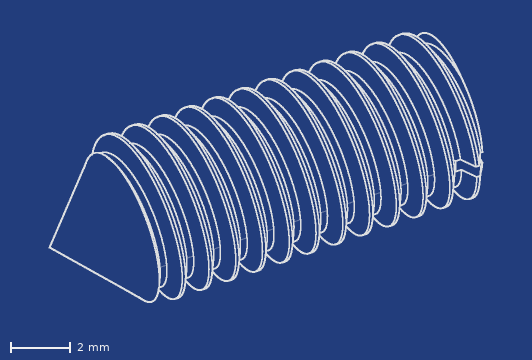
import cadquery as cq
import math

length = 15.0
major_radius = 3.0
core_radius = 2.46
point_length = major_radius

pitch = length / 15
flank_half_angle = math.radians(30)
crest_half_width = pitch / 16
root_half_width = crest_half_width + (major_radius - core_radius) * math.tan(flank_half_angle)
crest_offset = 0.44
overrun_turns = 2
root_overlap = 0.06
crest_clearance = 0.03

slot_width = 0.5
slot_depth = pitch


def pointed_envelope():
    """Trimming shape: flat at the head, clear of the crests, 45 degree cone at the point."""
    radius = major_radius + crest_clearance
    shoulder = length - radius * point_length / major_radius
    return (
        cq.Workplane("XZ")
        .polyline([(0, 0), (radius, 0), (radius, shoulder), (0, length)])
        .close()
        .revolve(360, (0, 0, 0), (0, 1, 0))
    )


def long_core():
    """Plain core rod, longer than the screw and its untrimmed thread at both ends."""
    overrun = (overrun_turns + 1) * pitch
    return (
        cq.Workplane("XY")
        .workplane(offset=-overrun)
        .circle(core_radius)
        .extrude(length + 2 * overrun)
    )


def thread_ridge():
    """Helical ridge, longer than the threaded shank at both ends."""
    start = crest_offset - overrun_turns * pitch
    turns = math.ceil((length - point_length) / pitch) + 2 * overrun_turns
    path = cq.Wire.makeHelix(pitch, turns * pitch, core_radius, cq.Vector(0, 0, start))
    inner_radius = core_radius - root_overlap
    inner_half_width = root_half_width + root_overlap * math.tan(flank_half_angle)
    profile = (
        cq.Workplane("XZ")
        .polyline([
            (inner_radius, start - inner_half_width),
            (major_radius, start - crest_half_width),
            (major_radius, start + crest_half_width),
            (inner_radius, start + inner_half_width),
        ])
        .close()
    )
    return profile.sweep(cq.Workplane(path), isFrenet=True)


def driver_slot():
    """Straight slot across the head along X."""
    return cq.Workplane("XY").box(
        2 * major_radius, slot_width, slot_depth, centered=(True, True, False)
    )


threaded_rod = long_core().union(thread_ridge())
screw = threaded_rod.intersect(pointed_envelope()).cut(driver_slot())
result = screw.rotate((0, 0, 0), (1, 0, 0), 90)